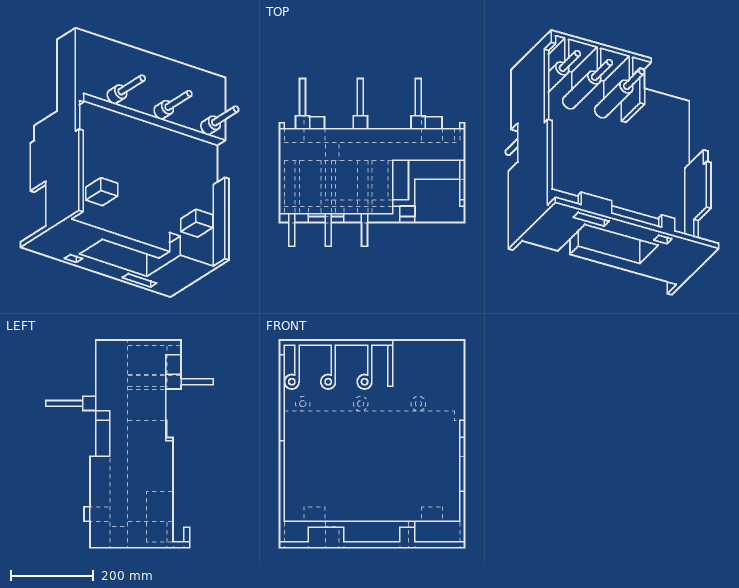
import cadquery as cq

width = 447.5
height = 501.5
wall = 12.5
inner_right = width - wall

hood_front = 21.0
wall_front = 40.0
upper_arm_front = 55.5
left_recess_front = 57.5
step_front = 105.0
panel_front = 150.5
panel_back = 193.5
block_back = 227.0
skirt_back = 241.0

floor_top = 64.0
arm_bottom = 136.5
skirt_top = 221.0
left_step_top = 258.5
arm_step_top = 266.5
arm_top = 307.5
block_bottom = 331.0
left_lip_bottom = 466.5

hood_width = 274.0
hood_underside = height - wall
hood_tab_bottom = 389.5

shoulder_width = 12.5

floor_right = 327.0
frame_wall = 15.5
opening_left = 110.5
opening_right = floor_right - frame_wall
base_thickness = 15.0
lip_thickness = 15.0
lip_top = 50.0
lip_spans = [(70.0, 155.0), (291.0, floor_right)]

notch_right = 143.0
notch_top = 51.5

boss_diameter = 35.0
pin_diameter = 15.0
front_count = 3
front_first_x = wall + boss_diameter / 2
front_pitch = 88.0
front_z = 400.5
front_pin_tip = -57.0
rib_thickness = 10.0
rear_count = 3
rear_first_x = 56.0
rear_pitch = 139.5
rear_z = block_bottom + boss_diameter / 2
rear_boss_back = 258.5
pin_tip_distance = 405.0
rear_pin_tip = front_pin_tip + pin_tip_distance

catch_width = 50.0
catch_height = 35.0
catch_back = 256.0
catch_right_edges = [109.5, 392.5]


def box(x0, x1, y0, y1, z0, z1):
    """Box between two limits on each axis."""
    return cq.Workplane("XY").box(x1 - x0, y1 - y0, z1 - z0, centered=False).translate((x0, y0, z0))


def rod(x, z, diameter, y0, y1):
    """Cylinder along Y between two depths."""
    return cq.Workplane("XZ", origin=(x, y0, z)).circle(diameter / 2).extrude(y0 - y1)


def side_plate(x0, profile):
    """Plate of wall thickness starting at x0, with a (Y, Z) outline."""
    return cq.Workplane("YZ", origin=(x0, 0, 0)).polyline(profile).close().extrude(wall)


def make_panel():
    """Upright panel, thicker above the rear recess and at a right shoulder, notched at its foot."""
    panel = box(0, width, panel_front, panel_back, 0, height)
    upper_block = box(0, width, panel_front, block_back, block_bottom, height)
    notch = box(opening_left, notch_right, panel_front, panel_back, 0, notch_top)
    shoulder = box(inner_right - shoulder_width, width, panel_front, block_back, arm_top, block_bottom)
    return panel.union(upper_block).union(shoulder).cut(notch)


def make_left_wall():
    return side_plate(0, [
        (wall_front, 0),
        (skirt_back, 0),
        (skirt_back, skirt_top),
        (panel_back, skirt_top),
        (panel_back, block_bottom),
        (block_back, block_bottom),
        (block_back, height),
        (hood_front, height),
        (hood_front, left_lip_bottom),
        (left_recess_front, left_lip_bottom),
        (left_recess_front, left_step_top),
        (wall_front, left_step_top),
    ])


def make_right_wall():
    """Right wall with a forward arm; it closes the end of the rear recess."""
    return side_plate(inner_right, [
        (step_front, 0),
        (skirt_back, 0),
        (skirt_back, skirt_top),
        (block_back, skirt_top),
        (block_back, block_bottom),
        (panel_front, block_bottom),
        (panel_front, arm_top),
        (upper_arm_front, arm_top),
        (upper_arm_front, arm_step_top),
        (wall_front, arm_step_top),
        (wall_front, arm_bottom),
        (step_front, arm_bottom),
    ])


def make_floor():
    """Raised floor with a large opening, stepped back on the right."""
    floor = box(0, floor_right, wall_front, panel_front, 0, floor_top)
    floor = floor.union(box(floor_right, width, step_front, panel_front, 0, floor_top))
    opening_front = wall_front + frame_wall
    return floor.cut(box(opening_left, opening_right, opening_front, panel_front, 0, floor_top))


def make_base():
    """Thin front base with upright lips and a slot behind each lip."""
    base = box(0, width, 0, wall_front, 0, base_thickness)
    base = base.union(box(floor_right, width, 0, step_front, 0, base_thickness))
    for left, right in lip_spans:
        base = base.union(box(left, right, 0, lip_thickness, 0, lip_top))
        base = base.cut(box(left, right, lip_thickness, wall_front, 0, base_thickness))
    return base


def make_hood():
    """Top plate over the front terminals with a hanging tab at its right end."""
    hood = box(0, hood_width, hood_front, panel_front, hood_underside, height)
    tab = box(hood_width - wall, hood_width, upper_arm_front, panel_front, hood_tab_bottom, height)
    return hood.union(tab)


def make_front_terminal(x):
    """Boss and pin hung from the hood by a rib flush with the boss side."""
    boss = rod(x, front_z, boss_diameter, hood_front, panel_front)
    pin = rod(x, front_z, pin_diameter, front_pin_tip, panel_front)
    rib_right = x + boss_diameter / 2
    rib = box(rib_right - rib_thickness, rib_right, hood_front, panel_front, front_z, height)
    return boss.union(pin).union(rib)


def make_rear_terminal(x):
    boss = rod(x, rear_z, boss_diameter, panel_back, rear_boss_back)
    return boss.union(rod(x, rear_z, pin_diameter, panel_back, rear_pin_tip))


def make_catch(right):
    """Block standing out from the back of the panel."""
    return box(right - catch_width, right, panel_back, catch_back, floor_top, floor_top + catch_height)


result = make_panel()
for section in (make_left_wall(), make_right_wall(), make_floor(), make_base(), make_hood()):
    result = result.union(section)
for index in range(front_count):
    result = result.union(make_front_terminal(front_first_x + index * front_pitch))
for index in range(rear_count):
    result = result.union(make_rear_terminal(rear_first_x + index * rear_pitch))
for right_edge in catch_right_edges:
    result = result.union(make_catch(right_edge))